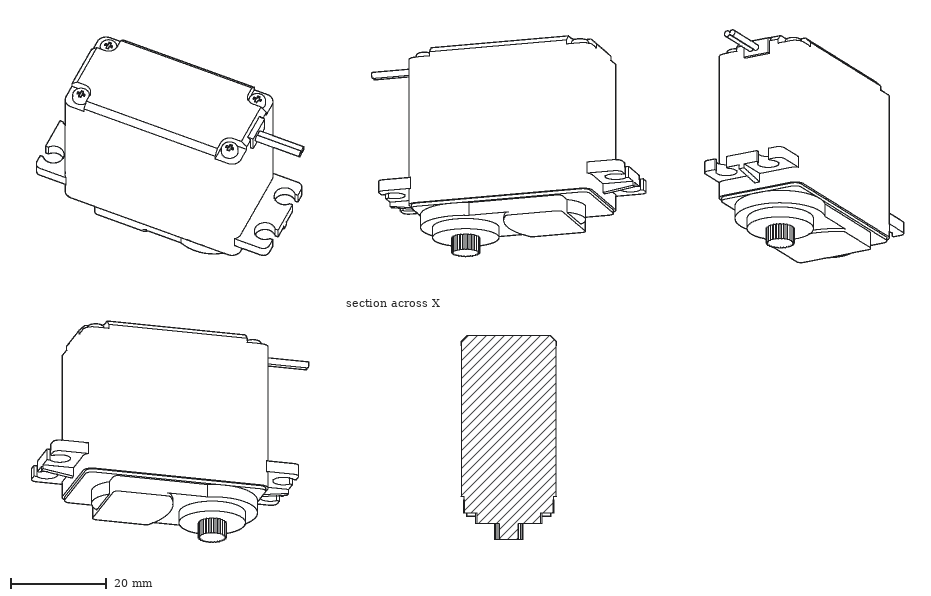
import cadquery as cq
import math

CASE_LENGTH = 40.0
CASE_WIDTH = 19.82
CASE_HEIGHT = 34.28
CASE_RADIUS = 2.0
CASE_CHAMFER = 1.22
STEP_HEIGHT = 0.69
STEP_INSET = 0.5

SCREW_X = 17.0
SCREW_Y = 6.95
SCREW_HEAD_RADIUS = 1.75
SCREW_CROWN_HEIGHT = 0.52
SCREW_CROWN_INSET = 0.5
SCREW_TOP_DEPTH = 0.69
POCKET_DEPTH = 2.09
POCKET_RADIUS = 2.0
CROSS_LENGTH = 1.64
CROSS_WIDTH = 0.5
CROSS_DEPTH = 0.4

LUG_SPAN = 53.2
LUG_WIDTH = 18.9
LUG_BOTTOM = 3.98
LUG_THICKNESS = 2.4
LUG_RADIUS = 1.4
LUG_HOLE_RADIUS = 2.2
LUG_HOLE_X = 24.2
LUG_HOLE_Y = 5.0
LUG_SLOT_WIDTH = 2.7
RIB_WIDTH = 1.2
RIB_TIP_Z = 3.1
RIB_ROOT_Z = 2.1

OUTPUT_X = 10.2
HOUSING_DEPTH = 2.75
HOUSING_RADIUS = 9.45
HOUSING_LEFT = -13.45
HOUSING_WIDTH = 17.54
HOUSING_FILLET = 1.05
BULGE_RADIUS = 6.2
BULGE_LEFT = -15.73
PAD_DEPTH = 3.43
PAD_RIGHT = 1.08
PAD_END_RADIUS = 17.0
BOSS_DEPTH = 4.95
BOSS_RADIUS = 6.95

SPLINE_TEETH = 25
SPLINE_RADIUS = 2.93
SPLINE_ROOT_RADIUS = 2.65
SPLINE_DEPTH = 8.24

CABLE_Z = 31.95
CABLE_END_X = 30.62
WIRE_RADIUS = 0.65
WIRE_PITCH = 1.24
FIRST_WIRE_Y = 0.0
RELIEF_END_X = 20.56
RELIEF_START_X = 18.5
RELIEF_WIDTH = 6.2
RELIEF_HEIGHT = 3.7
RELIEF_DRAFT = 6.0

OVERLAP = 0.5


def box(x_min, x_max, y_min, y_max, z_min, z_max):
    """Axis-aligned box between two corners."""
    size = (x_max - x_min, y_max - y_min, z_max - z_min)
    return cq.Workplane("XY").box(*size, centered=False).translate((x_min, y_min, z_min))


def hanging_disc(x, radius, depth):
    """Disc hanging from the gear end face, its lower face at the given depth."""
    return cq.Workplane("XY", origin=(x, 0, -depth)).circle(radius).extrude(depth)


def make_case():
    """Main box with a chamfered top and a stepped-in lower rim."""
    upper = (
        cq.Workplane("XY", origin=(0, 0, STEP_HEIGHT))
        .rect(CASE_LENGTH, CASE_WIDTH)
        .extrude(CASE_HEIGHT - STEP_HEIGHT)
        .edges("|Z")
        .fillet(CASE_RADIUS)
        .faces(">Z")
        .chamfer(CASE_CHAMFER)
    )
    rim = (
        cq.Workplane("XY")
        .rect(CASE_LENGTH - 2 * STEP_INSET, CASE_WIDTH - 2 * STEP_INSET)
        .extrude(STEP_HEIGHT + OVERLAP)
        .edges("|Z")
        .fillet(CASE_RADIUS - STEP_INSET)
    )
    return upper.union(rim)


def corner_pocket(x_side, y_side):
    """Screw pocket open to the corner, rounded around the screw on its inner corner."""
    wall_x = SCREW_X - POCKET_RADIUS
    wall_y = SCREW_Y - POCKET_RADIUS
    pocket = box(
        wall_x, CASE_LENGTH, wall_y, CASE_WIDTH, CASE_HEIGHT - POCKET_DEPTH, CASE_HEIGHT
    )
    pocket = pocket.edges("|Z and <X and <Y").fillet(POCKET_RADIUS)
    if x_side < 0:
        pocket = pocket.mirror("YZ")
    if y_side < 0:
        pocket = pocket.mirror("XZ")
    return pocket


def screw_head(x, y):
    """Round screw head with a domed crown and a cross recess."""
    top = CASE_HEIGHT - SCREW_TOP_DEPTH
    bottom = CASE_HEIGHT - POCKET_DEPTH - OVERLAP
    crown_bottom = top - SCREW_CROWN_HEIGHT
    crown_radius = SCREW_HEAD_RADIUS - SCREW_CROWN_INSET
    bend = math.sqrt(0.5)
    profile = (
        cq.Workplane("XZ")
        .moveTo(0, bottom)
        .lineTo(SCREW_HEAD_RADIUS, bottom)
        .lineTo(SCREW_HEAD_RADIUS, crown_bottom)
        .threePointArc(
            (crown_radius + SCREW_CROWN_INSET * bend, crown_bottom + SCREW_CROWN_HEIGHT * bend),
            (crown_radius, top),
        )
        .lineTo(0, top)
        .close()
    )
    head = profile.revolve(360, (0, 0, 0), (0, 1, 0))
    recess = cq.Workplane("XY", origin=(0, 0, top - CROSS_DEPTH))
    for length, width in ((CROSS_LENGTH, CROSS_WIDTH), (CROSS_WIDTH, CROSS_LENGTH)):
        head = head.cut(recess.rect(length, width).extrude(CROSS_DEPTH))
    return head.translate((x, y, 0))


def mounting_lug():
    """Lug on the +X side: plate with two open screw slots and a tapered rib below."""
    tip = LUG_SPAN / 2
    root = CASE_LENGTH / 2 - CASE_RADIUS
    top = LUG_BOTTOM + LUG_THICKNESS
    lug = box(root, tip, -LUG_WIDTH / 2, LUG_WIDTH / 2, LUG_BOTTOM, top)
    lug = lug.edges("|Z and >X").fillet(LUG_RADIUS)
    for y in (-LUG_HOLE_Y, LUG_HOLE_Y):
        hole = (
            cq.Workplane("XY", origin=(LUG_HOLE_X, y, LUG_BOTTOM))
            .circle(LUG_HOLE_RADIUS)
            .extrude(LUG_THICKNESS)
        )
        slot = box(
            LUG_HOLE_X, tip, y - LUG_SLOT_WIDTH / 2, y + LUG_SLOT_WIDTH / 2, LUG_BOTTOM, top
        )
        lug = lug.cut(hole).cut(slot)
    case_wall = CASE_LENGTH / 2
    rib = (
        cq.Workplane("XZ")
        .moveTo(tip, LUG_BOTTOM + OVERLAP)
        .lineTo(tip, RIB_TIP_Z)
        .lineTo(case_wall, RIB_ROOT_Z)
        .lineTo(root, RIB_ROOT_Z)
        .lineTo(root, LUG_BOTTOM + OVERLAP)
        .close()
        .extrude(RIB_WIDTH / 2, both=True)
    )
    return lug.union(rib)


def make_gear_housing():
    """Gear cover: straight block, round output end, round bulge, raised pad and output boss."""
    half_width = HOUSING_WIDTH / 2
    block = box(HOUSING_LEFT, OUTPUT_X, -half_width, half_width, -HOUSING_DEPTH, 0)
    block = block.edges("|Z and <X").fillet(HOUSING_FILLET)

    pad_end_center = PAD_RIGHT - PAD_END_RADIUS
    pad_corner = pad_end_center + math.sqrt(PAD_END_RADIUS**2 - half_width**2)
    pad = (
        cq.Workplane("XY", origin=(0, 0, -PAD_DEPTH))
        .moveTo(HOUSING_LEFT, -half_width)
        .lineTo(pad_corner, -half_width)
        .threePointArc((PAD_RIGHT, 0), (pad_corner, half_width))
        .lineTo(HOUSING_LEFT, half_width)
        .close()
        .extrude(PAD_DEPTH)
        .edges("|Z")
        .fillet(HOUSING_FILLET)
    )
    return (
        block.union(pad)
        .union(hanging_disc(OUTPUT_X, HOUSING_RADIUS, HOUSING_DEPTH))
        .union(hanging_disc(BULGE_LEFT + BULGE_RADIUS, BULGE_RADIUS, HOUSING_DEPTH))
        .union(hanging_disc(OUTPUT_X, BOSS_RADIUS, BOSS_DEPTH))
    )


def make_output_spline():
    """Toothed output shaft with V-shaped teeth."""
    points = []
    for i in range(2 * SPLINE_TEETH):
        radius = SPLINE_RADIUS if i % 2 == 0 else SPLINE_ROOT_RADIUS
        angle = math.pi * i / SPLINE_TEETH
        points.append((radius * math.cos(angle), radius * math.sin(angle)))
    shaft = cq.Workplane("XY", origin=(OUTPUT_X, 0, -SPLINE_DEPTH)).polyline(points).close()
    return shaft.extrude(SPLINE_DEPTH - BOSS_DEPTH + OVERLAP)


def make_cable():
    """Drafted strain relief block with two parallel wires."""
    cable = (
        cq.Workplane("YZ", origin=(RELIEF_START_X, 0, CABLE_Z))
        .rect(RELIEF_WIDTH, RELIEF_HEIGHT)
        .extrude(RELIEF_END_X - RELIEF_START_X, taper=RELIEF_DRAFT)
    )
    for y in (FIRST_WIRE_Y, FIRST_WIRE_Y - WIRE_PITCH):
        wire = (
            cq.Workplane("YZ", origin=(RELIEF_START_X, y, CABLE_Z))
            .circle(WIRE_RADIUS)
            .extrude(CABLE_END_X - RELIEF_START_X)
        )
        cable = cable.union(wire)
    return cable


servo = make_case()
for x_side in (-1, 1):
    for y_side in (-1, 1):
        servo = servo.cut(corner_pocket(x_side, y_side))
        servo = servo.union(screw_head(x_side * SCREW_X, y_side * SCREW_Y))

lug = mounting_lug()
servo = servo.union(lug).union(lug.mirror("YZ"))
servo = servo.union(make_gear_housing()).union(make_output_spline())
result = servo.union(make_cable())